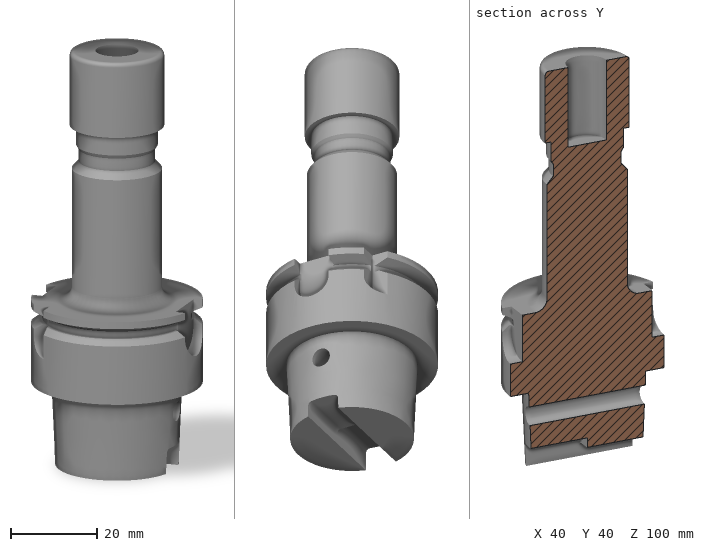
import cadquery as cq
import math

total_height = 100.0
flange_bottom = 20.0
flange_top = 40.0

shank_base_radius = 14.4
shank_top_radius = 15.3

flange_radius = 20.0
groove_floor_radius = 17.4
groove_step_radius = 18.3
groove_bottom, groove_floor_bottom = 34.1, 35.4
groove_floor_top, groove_top = 37.0, 38.3

body_radius = 10.5
root_fillet = 3.0
body_top = 71.6
neck_radius = 8.9
neck_bottom, neck_top = 73.4, 76.4
collar_radius = 9.5
collar_bottom = 77.3
nut_radius = 11.0
nut_bottom = 82.0
nut_fillet = 1.0
bore_radius = 5.0
bore_depth = 20.0

keyway_bottom = 28.3
keyway_floor = 16.9
left_keyway_width = 9.0
right_keyway_width = 11.2
corner_notch_edge = 12.0
corner_notch_center = math.sqrt(flange_radius**2 - corner_notch_edge**2)
corner_notch_width = 2 * (corner_notch_center - corner_notch_edge)

drive_slot_width = 8.0
drive_slot_fillet = 1.0
left_drive_slot_depth = 3.6
right_drive_slot_depth = 6.0
cross_hole_diameter = 4.6
cross_hole_height = 14.2


def turned_body():
    """Revolve the half profile around Z."""
    fillet_mid = root_fillet * (1 - math.sqrt(0.5))
    nut_mid = nut_fillet * (1 - math.sqrt(0.5))
    profile = (
        cq.Workplane("XZ")
        .lineTo(shank_base_radius, 0)
        .lineTo(shank_top_radius, flange_bottom)
        .lineTo(flange_radius, flange_bottom)
        .lineTo(flange_radius, groove_bottom)
        .lineTo(groove_step_radius, groove_floor_bottom)
        .lineTo(groove_floor_radius, groove_floor_bottom)
        .lineTo(groove_floor_radius, groove_floor_top)
        .lineTo(flange_radius, groove_top)
        .lineTo(flange_radius, flange_top)
        .lineTo(body_radius + root_fillet, flange_top)
        .threePointArc(
            (body_radius + fillet_mid, flange_top + fillet_mid),
            (body_radius, flange_top + root_fillet),
        )
        .lineTo(body_radius, body_top)
        .lineTo(neck_radius, neck_bottom)
        .lineTo(neck_radius, neck_top)
        .lineTo(collar_radius, collar_bottom)
        .lineTo(collar_radius, nut_bottom)
        .lineTo(nut_radius, nut_bottom)
        .lineTo(nut_radius, total_height - nut_fillet)
        .threePointArc(
            (nut_radius - nut_mid, total_height - nut_mid),
            (nut_radius - nut_fillet, total_height),
        )
        .lineTo(0, total_height)
        .close()
    )
    return profile.revolve(360, (0, 0, 0), (0, 1, 0))


def keyway_cutter(width, center_y, start_x, end_x):
    """Slot along X with a round bottom, open through the flange top."""
    radius = width / 2
    center_z = keyway_bottom + radius
    return (
        cq.Workplane("YZ", origin=(start_x, center_y, 0))
        .moveTo(-radius, flange_top)
        .lineTo(-radius, center_z)
        .threePointArc((0, keyway_bottom), (radius, center_z))
        .lineTo(radius, flange_top)
        .close()
        .extrude(end_x - start_x)
    )


def drive_slot_cutter(depth, side):
    """Slot from the lower end to the axis on the given X side (-1 or 1)."""
    return (
        cq.Workplane("XY")
        .box(flange_radius, drive_slot_width, depth, centered=(True, True, False))
        .edges("|X and >Z")
        .fillet(drive_slot_fillet)
        .translate((side * flange_radius / 2, 0, 0))
    )


bore = (
    cq.Workplane("XY", origin=(0, 0, total_height - bore_depth))
    .circle(bore_radius)
    .extrude(bore_depth)
)
cross_hole = (
    cq.Workplane("YZ")
    .center(0, cross_hole_height)
    .circle(cross_hole_diameter / 2)
    .extrude(flange_radius, both=True)
)

cutters = [
    bore,
    cross_hole,
    keyway_cutter(left_keyway_width, 0, -flange_radius, -keyway_floor),
    keyway_cutter(right_keyway_width, 0, keyway_floor, flange_radius),
    keyway_cutter(corner_notch_width, -corner_notch_center, -flange_radius, -corner_notch_edge),
    drive_slot_cutter(left_drive_slot_depth, -1),
    drive_slot_cutter(right_drive_slot_depth, 1),
]

result = turned_body()
for cutter in cutters:
    result = result.cut(cutter)